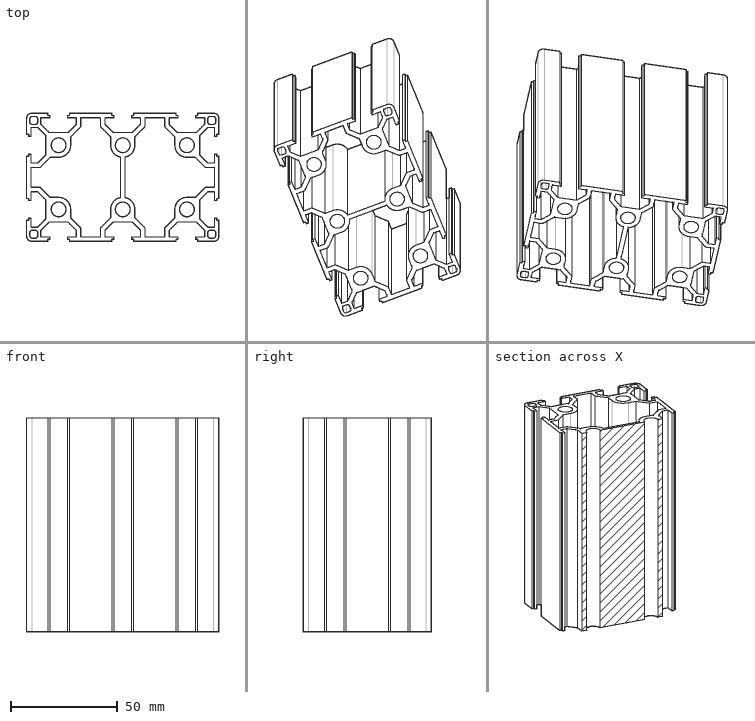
import cadquery as cq

pitch = 30.0
columns = 3
rows = 2
length = 100.0
width = columns * pitch
depth = rows * pitch
corner_radius = 2.5

mouth_width = 8.2
recess_width = 10.1
recess_depth = 1.0
lip_thickness = 2.2
cavity_width = 16.5
cavity_depth = 9.0
shoulder_depth = 5.2

wall = 2.2
center_web = 2.2
slot_frame_width = cavity_width + 2 * wall
slot_frame_shoulder = 6.3

core_radius = 5.7
bore_diameter = 6.8

corner_channel_size = 3.6
corner_channel_offset = 1.6
corner_channel_radius = 1.0
corner_block = (pitch - cavity_width) / 2

cell_centers = [
    (pitch * (i - (columns - 1) / 2), pitch * (j - (rows - 1) / 2))
    for i in range(columns)
    for j in range(rows)
]
corner_signs = [(sx, sy) for sx in (-1, 1) for sy in (-1, 1)]


def box(size_x, size_y):
    """Full-length bar centered on the Z axis, standing on Z = 0."""
    return cq.Workplane("XY").rect(size_x, size_y).extrude(length)


def mirrored_prism(half_outline):
    """Full-length prism from a right-hand half outline mirrored about X = 0."""
    left_half = [(-x, y) for x, y in reversed(half_outline)]
    return cq.Workplane("XY").polyline(half_outline + left_half).close().extrude(length)


def at_slots(prism):
    """Copies of a prism drawn with the outer face at Y = 0 and inward as -Y, one per slot."""
    copies = []
    for angle, count, face in ((0, columns, depth), (90, rows, width)):
        for i in range(count):
            along = pitch * (i - (count - 1) / 2)
            placed = prism.translate((along, face / 2, 0))
            for turn in (angle, angle + 180):
                copies.append(placed.rotate((0, 0, 0), (0, 0, 1), turn))
    return copies


def slot():
    """Void of one T-slot: stepped mouth, then a cavity with a 45 degree tapered floor."""
    floor_half = cavity_width / 2 - (cavity_depth - shoulder_depth)
    return mirrored_prism([
        (recess_width / 2, 0),
        (recess_width / 2, -recess_depth),
        (mouth_width / 2, -recess_depth),
        (mouth_width / 2, -lip_thickness),
        (cavity_width / 2, -lip_thickness),
        (cavity_width / 2, -shoulder_depth),
        (floor_half, -cavity_depth),
    ])


def slot_frame():
    """Solid material that wraps one T-slot, down to the core center."""
    taper = slot_frame_width / 2 - core_radius
    return mirrored_prism([
        (slot_frame_width / 2, 0),
        (slot_frame_width / 2, -slot_frame_shoulder),
        (core_radius, -slot_frame_shoulder - taper),
        (core_radius, -pitch / 2),
    ])


def corner_blocks():
    """Solid squares filling the four outer corners."""
    inset = corner_block / 2
    centers = [(sx * (width / 2 - inset), sy * (depth / 2 - inset)) for sx, sy in corner_signs]
    return cq.Workplane("XY").pushPoints(centers).rect(corner_block, corner_block).extrude(length)


def corner_channels():
    """Voids of the rounded square channels in the four outer corners."""
    inset = corner_channel_offset + corner_channel_size / 2
    centers = [(sx * (width / 2 - inset), sy * (depth / 2 - inset)) for sx, sy in corner_signs]
    squares = cq.Workplane("XY").pushPoints(centers).rect(corner_channel_size, corner_channel_size)
    return squares.extrude(length).edges("|Z").fillet(corner_channel_radius)


def hollows():
    """Large inner voids: the inside of the shell less everything that stays solid."""
    void = box(width - 2 * wall, depth - 2 * wall)
    void = void.cut(box(center_web, pitch))
    void = void.cut(cq.Workplane("XY").pushPoints(cell_centers).circle(core_radius).extrude(length))
    void = void.cut(corner_blocks())
    for frame in at_slots(slot_frame()):
        void = void.cut(frame)
    return void


profile = box(width, depth).edges("|Z").fillet(corner_radius)
profile = profile.cut(hollows())
for slot_void in at_slots(slot()):
    profile = profile.cut(slot_void)
profile = profile.cut(corner_channels())
bores = cq.Workplane("XY").pushPoints(cell_centers).circle(bore_diameter / 2).extrude(length)
result = profile.cut(bores)